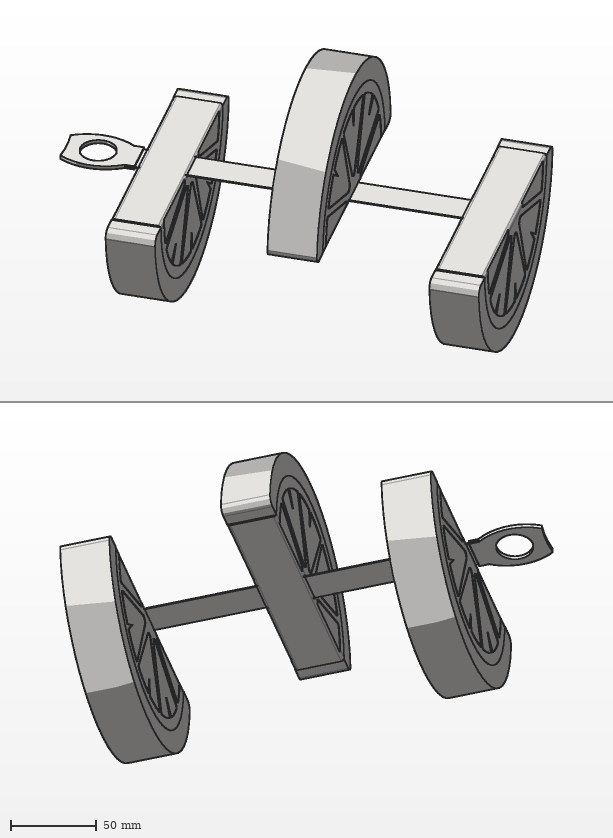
import cadquery as cq
import math

part_end = 137.2
first_slice_x = -90.2
slice_width = 30.2
slice_turns = [0, 180, 0]

rind_radius = 80.5
rind_rounding = 5.0
rind_top = 0.3

flesh_radius = 67.5
flesh_rise = 1.05
flesh_edge_rounding = 2.0
flesh_top = rind_top + flesh_rise

segment_depth = 0.4
segment_radius = 60.0
segment_apex = 8.5
segment_half_angle = 24.6
segment_spread = 45.0
segment_tip_rounding = 3.0
segment_corner_rounding = 1.5

notch_half_width = 1.5
notch_tip = 48.0

partial_inner = 15.0
partial_apex = 3.3
partial_angle = 20.2

strap_half_width = 9.75
strap_thickness = 0.8
strap_start = -105.5
slot_clearance = 0.69

tab_thickness = 2.5
tab_end = -92.2
tab_neck_start = -98.2
tab_neck_half_width = 10.5
tab_half_width = 16.32
tab_end_half_width = 11.1
tab_end_hollow = 0.8
tab_hole_diameter = 22.0
tab_hole_x = -117.0

slice_count = len(slice_turns)
last_slice_x = part_end - slice_width
slice_pitch = (last_slice_x - first_slice_x) / (slice_count - 1)
strap_end = last_slice_x + slice_width / 2


def disc(radius, thickness):
    """Disc centred on the X axis, from X = 0 to its thickness."""
    return cq.Workplane("YZ").circle(radius).extrude(thickness)


def half_disc(radius):
    """Half disc below Z = 0 with its cut face centred on the X axis."""
    cover = cq.Workplane("XY").box(slice_width, 2 * radius, radius, centered=(False, True, False))
    return disc(radius, slice_width).cut(cover)


def make_rind():
    body = half_disc(rind_radius).edges("|X").fillet(rind_rounding).translate((0, 0, rind_top))
    return body.cut(half_disc(flesh_radius).translate((0, 0, flesh_top)))


def segment_blank(points):
    """Prism of segment depth on the points, trimmed by the arc that bounds all segments."""
    prism = cq.Workplane("YZ").polyline(points).close().extrude(segment_depth)
    return prism.intersect(disc(segment_radius, segment_depth))


def whole_segment():
    """Notched wedge pointing from the centre down along -Z."""
    reach = 2 * segment_radius
    half_reach = (reach - segment_apex) * math.tan(math.radians(segment_half_angle))
    wedge = segment_blank([(0, -segment_apex), (half_reach, -reach), (-half_reach, -reach)])
    wedge = wedge.edges("|X and >Z").fillet(segment_tip_rounding)
    wedge = wedge.edges("|X and (<Y or >Y)").fillet(segment_corner_rounding)

    notch_reach = 2 * segment_radius - notch_tip
    notch_base = 2 * notch_half_width
    notch_points = [(0, -notch_tip), (notch_base, -notch_reach), (-notch_base, -notch_reach)]
    notch = cq.Workplane("YZ").polyline(notch_points).close().extrude(segment_depth)
    return wedge.cut(notch)


def partial_segment():
    """Part of a segment on the +Y side that is open at the cut face."""
    slope = math.tan(math.radians(partial_angle))
    reach = 2 * segment_radius
    blank = segment_blank([
        (partial_inner, 0),
        (partial_inner, -(partial_inner - partial_apex) * slope),
        (reach, -(reach - partial_apex) * slope),
        (reach, 0),
    ])
    return blank.edges("|X and (not >Z)").fillet(segment_corner_rounding)


def segment_recesses():
    whole = whole_segment()
    partial = partial_segment()
    turned = [whole.rotate((0, 0, 0), (1, 0, 0), turn) for turn in (-segment_spread, 0, segment_spread)]
    return turned + [partial, partial.mirror("XZ")]


def make_flesh(slot_length, clearance):
    """Flesh with segments on both ends and a slot for the strap that starts at X = 0."""
    block_width = 3 * flesh_radius
    block = cq.Workplane("XY").box(slice_width, block_width, block_width, centered=(False, True, False))
    block = block.translate((0, 0, -block_width)).edges("|Y and >Z").fillet(flesh_edge_rounding)
    body = disc(flesh_radius, slice_width).intersect(block)
    for recess in segment_recesses():
        body = body.cut(recess)
        body = body.cut(recess.translate((slice_width - segment_depth, 0, 0)))
    slot_width = 2 * (strap_half_width + clearance)
    slot = cq.Workplane("XY").box(slot_length, slot_width, strap_thickness, centered=(False, True, True))
    return body.translate((0, 0, flesh_top)).cut(slot)


def make_strap():
    length = strap_end - strap_start
    width = 2 * strap_half_width
    blank = cq.Workplane("XY").box(length, width, strap_thickness, centered=(False, True, True))
    return blank.translate((strap_start, 0, 0))


def make_tab(strap):
    plate = (
        cq.Workplane("XY", origin=(0, 0, -tab_thickness / 2))
        .moveTo(tab_end, -tab_neck_half_width)
        .lineTo(tab_end, tab_neck_half_width)
        .lineTo(tab_neck_start, tab_neck_half_width)
        .threePointArc((tab_hole_x, tab_half_width), (-part_end, tab_end_half_width))
        .threePointArc((tab_end_hollow - part_end, 0), (-part_end, -tab_end_half_width))
        .threePointArc((tab_hole_x, -tab_half_width), (tab_neck_start, -tab_neck_half_width))
        .close()
        .extrude(tab_thickness)
    )
    hole = cq.Workplane("XY").circle(tab_hole_diameter / 2).extrude(tab_thickness, both=True)
    return plate.cut(hole.translate((tab_hole_x, 0, 0))).cut(strap)


strap = make_strap()
tab = make_tab(strap)
bodies = [tab.val(), strap.val()]
for index, turn in enumerate(slice_turns):
    slice_x = first_slice_x + index * slice_pitch
    if index < slice_count - 1:
        flesh = make_flesh(slice_width, slot_clearance)
    else:
        flesh = make_flesh(strap_end - slice_x, 0)
    for part in (make_rind(), flesh):
        placed = part.rotate((0, 0, 0), (1, 0, 0), turn).translate((slice_x, 0, 0))
        bodies.append(placed.val())

result = cq.Compound.makeCompound(bodies)